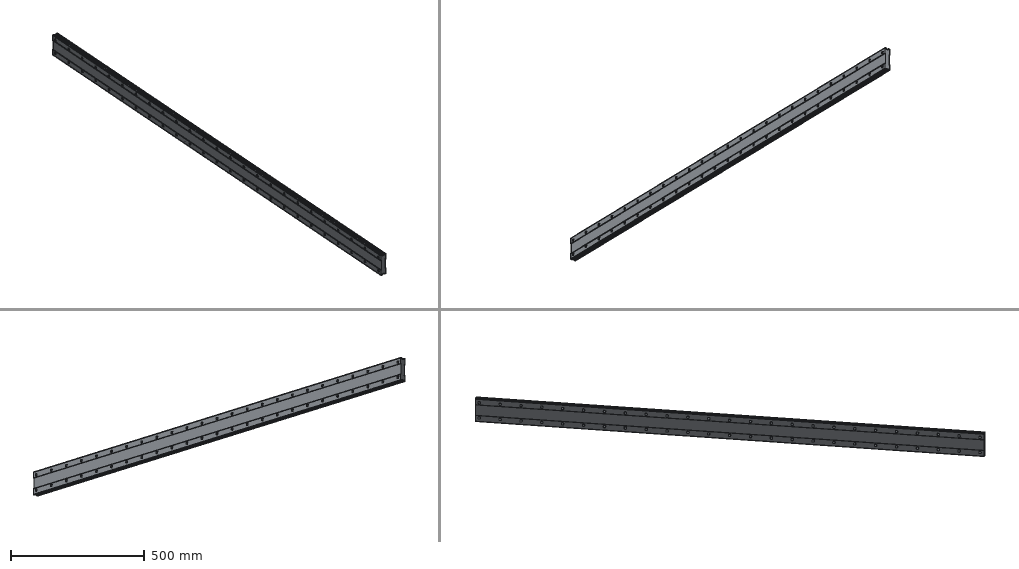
import cadquery as cq

LENGTH = 1950.0
THICKNESS = 24.0
HEIGHT = 90.0

WEB_THICKNESS = 19.0
WEB_HEIGHT = 42.0
CORNER_CHAMFER = 1.5

GROOVE_WIDTH = 9.0
GROOVE_DEPTH = 4.0

HOLE_DIAMETER = 9.0
HOLE_PITCH = 80.0
HOLES_PER_ROW = 25
HOLE_ROWS = 2
HOLE_ROW_SPACING = 60.0


def rail_bar():
    """Full-size bar centred on the origin, with its four long corners chamfered."""
    bar = cq.Workplane("XY").box(LENGTH, THICKNESS, HEIGHT)
    return bar.edges("|X").chamfer(CORNER_CHAMFER)


def web_recesses():
    """Long shallow channels that thin both faces down to the web."""
    depth = (THICKNESS - WEB_THICKNESS) / 2
    offset = (THICKNESS - depth) / 2
    centers = [(0, -offset), (0, offset)]
    return cq.Workplane("XY").pushPoints(centers).box(LENGTH, depth, WEB_HEIGHT)


def edge_grooves():
    """Lengthwise grooves in the top and bottom edges."""
    offset = (HEIGHT - GROOVE_DEPTH) / 2
    centers = [(0, 0, -offset), (0, 0, offset)]
    return cq.Workplane("XY").pushPoints(centers).box(LENGTH, GROOVE_WIDTH, GROOVE_DEPTH)


def mounting_holes():
    """Two rows of holes running through the flanges along Y."""
    return (
        cq.Workplane("XZ", origin=(0, THICKNESS / 2, 0))
        .rarray(HOLE_PITCH, HOLE_ROW_SPACING, HOLES_PER_ROW, HOLE_ROWS)
        .circle(HOLE_DIAMETER / 2)
        .extrude(THICKNESS)
    )


result = rail_bar().cut(web_recesses()).cut(edge_grooves()).cut(mounting_holes())